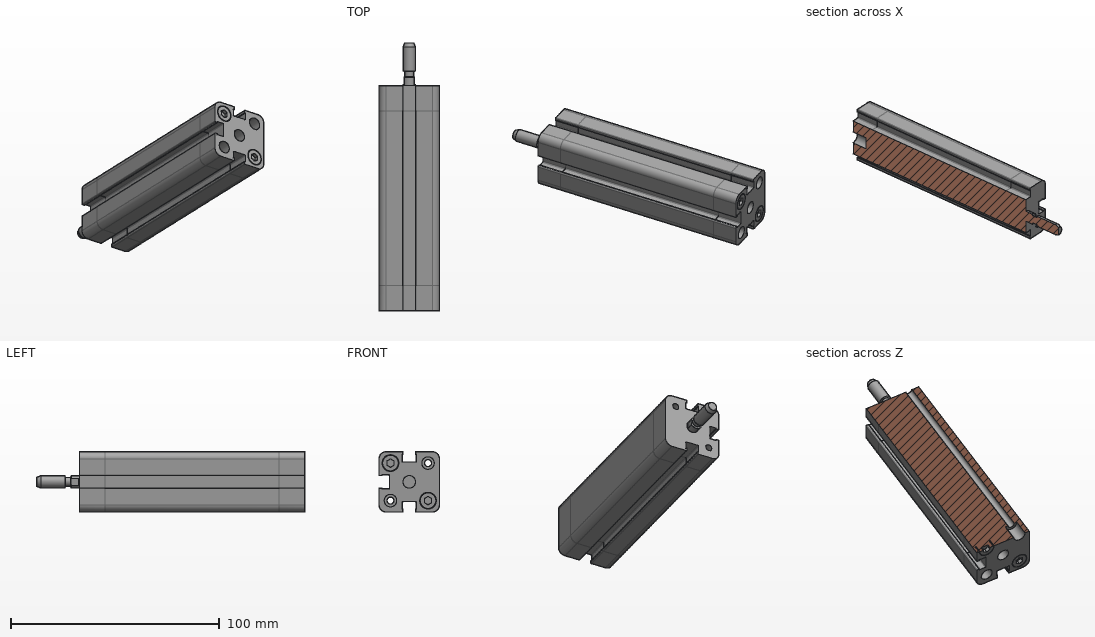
import cadquery as cq
import math

BODY_SIDE = 29.05
BODY_LENGTH = 108.0
CAP_LENGTH = 12.25
CORNER_RADIUS = 3.5

SLOT_MOUTH_WIDTH = 6.0
CAP_SLOT_WIDTH = 7.0
TUBE_SLOT_WIDTH = 6.5
SLOT_DEPTH = 5.0
SLOT_EDGE_RADIUS = 0.3
SLOT_LIP = 1.5
SLOT_ANGLES = (0, 90, 180)

HOLE_OFFSET = 9.0
THROUGH_DIAMETER = 3.24
COUNTERBORE_DIAMETER = 6.0
COUNTERBORE_DEPTH = 8.0
CENTER_HOLE_DIAMETER = 6.0
CENTER_HOLE_DEPTH = 8.0
SCREW_BORE_DIAMETER = 8.0
SCREW_HEAD_DIAMETER = 7.5
SCREW_HEAD_HEIGHT = 4.0
SOCKET_FLAT_WIDTH = 3.5
SOCKET_DEPTH = 2.0
HEX_HALF_ANGLE = 30

ROD_DIAMETER = 6.0
ROD_LENGTH = 20.5
ROD_SHOULDER_LENGTH = 4.3
ROD_SHOULDER_TAPER = 0.4
ROD_FLAT_WIDTH = 5.0
ROD_FLAT_OFFSET = 0.4
NECK_DIAMETER = 4.4
NECK_LENGTH = 2.4
THREAD_RUNOUT = 0.3
TIP_DIAMETER = 4.4
TIP_LENGTH = 2.0


def front_plane(y):
    """Plane at the given Y with local x = +X, local y = +Z and normal = -Y."""
    return cq.Workplane("XZ", origin=(0, y, 0))


def cylinder(diameter, x, z, depth):
    """Cylinder sunk from the front face into the body."""
    return front_plane(0).center(x, z).circle(diameter / 2).extrude(-depth)


def body_section(y_start, length, slot_width):
    """Length of slotted square profile, with rounded slot mouths and slot floor corners."""
    section = front_plane(y_start).rect(BODY_SIDE, BODY_SIDE).extrude(-length)
    section = section.edges("|Y").fillet(CORNER_RADIUS)
    half_side = BODY_SIDE / 2
    half_mouth = SLOT_MOUTH_WIDTH / 2
    half_slot = slot_width / 2
    floor = half_side - SLOT_DEPTH
    round_start = half_mouth + SLOT_EDGE_RADIUS
    round_end = half_side - SLOT_EDGE_RADIUS
    slot = (
        front_plane(y_start)
        .moveTo(-round_start, half_side)
        .radiusArc((-half_mouth, round_end), SLOT_EDGE_RADIUS)
        .lineTo(-half_mouth, half_side - SLOT_LIP)
        .lineTo(-half_slot, half_side - SLOT_LIP)
        .lineTo(-half_slot, floor + SLOT_EDGE_RADIUS)
        .radiusArc((SLOT_EDGE_RADIUS - half_slot, floor), -SLOT_EDGE_RADIUS)
        .lineTo(half_slot - SLOT_EDGE_RADIUS, floor)
        .radiusArc((half_slot, floor + SLOT_EDGE_RADIUS), -SLOT_EDGE_RADIUS)
        .lineTo(half_slot, half_side - SLOT_LIP)
        .lineTo(half_mouth, half_side - SLOT_LIP)
        .lineTo(half_mouth, round_end)
        .radiusArc((round_start, half_side), SLOT_EDGE_RADIUS)
        .close()
        .extrude(-length)
    )
    for angle in SLOT_ANGLES:
        section = section.cut(slot.rotate((0, 0, 0), (0, 1, 0), -angle))
    return section


def body():
    """Front cap, tube and rear cap, keeping the seams between them."""
    tube_length = BODY_LENGTH - 2 * CAP_LENGTH
    front_cap = body_section(0, CAP_LENGTH, CAP_SLOT_WIDTH)
    tube = body_section(CAP_LENGTH, tube_length, TUBE_SLOT_WIDTH)
    rear_cap = body_section(BODY_LENGTH - CAP_LENGTH, CAP_LENGTH, CAP_SLOT_WIDTH)
    return front_cap.union(tube, clean=False).union(rear_cap, clean=False)


def mounting_hole(x, z):
    """Through hole with a counterbore in the front face."""
    bore = cylinder(COUNTERBORE_DIAMETER, x, z, COUNTERBORE_DEPTH)
    return bore.union(cylinder(THROUGH_DIAMETER, x, z, BODY_LENGTH))


def screw_recess(x, z):
    """Clearance ring around a flush screw head, plus its hexagon socket with corners up and down."""
    ring = cylinder(SCREW_BORE_DIAMETER, x, z, SCREW_HEAD_HEIGHT).cut(
        cylinder(SCREW_HEAD_DIAMETER, x, z, SCREW_HEAD_HEIGHT)
    )
    socket = (
        front_plane(0)
        .center(x, z)
        .transformed(rotate=(0, 0, HEX_HALF_ANGLE))
        .polygon(6, SOCKET_FLAT_WIDTH / math.cos(math.radians(HEX_HALF_ANGLE)))
        .extrude(-SOCKET_DEPTH)
    )
    return ring.union(socket)


def piston_rod():
    """Turned rod with two wrench flats, a neck and a tapered threaded end."""
    radius = ROD_DIAMETER / 2
    neck_radius = NECK_DIAMETER / 2
    shoulder_end = BODY_LENGTH + ROD_SHOULDER_LENGTH
    neck_end = shoulder_end + NECK_LENGTH
    rod_end = BODY_LENGTH + ROD_LENGTH
    rod = (
        cq.Workplane("XY")
        .moveTo(0, BODY_LENGTH)
        .lineTo(radius, BODY_LENGTH)
        .lineTo(radius, shoulder_end - ROD_SHOULDER_TAPER)
        .lineTo(neck_radius, shoulder_end)
        .lineTo(neck_radius, neck_end)
        .lineTo(radius, neck_end + THREAD_RUNOUT)
        .lineTo(radius, rod_end - TIP_LENGTH)
        .lineTo(TIP_DIAMETER / 2, rod_end)
        .lineTo(0, rod_end)
        .close()
        .revolve(360, (0, 0, 0), (0, 1, 0))
    )
    flat_start = BODY_LENGTH + ROD_FLAT_OFFSET
    flat_length = ROD_SHOULDER_LENGTH - ROD_FLAT_OFFSET
    block_side = 2 * ROD_DIAMETER
    block = front_plane(flat_start).rect(block_side, block_side).extrude(-flat_length)
    between_flats = front_plane(flat_start).rect(ROD_FLAT_WIDTH, block_side).extrude(-flat_length)
    return rod.cut(block.cut(between_flats))


result = body().union(piston_rod(), clean=False)
result = result.cut(cylinder(CENTER_HOLE_DIAMETER, 0, 0, CENTER_HOLE_DEPTH), clean=False)
for side in (-1, 1):
    result = result.cut(mounting_hole(side * HOLE_OFFSET, side * HOLE_OFFSET), clean=False)
    result = result.cut(screw_recess(side * HOLE_OFFSET, -side * HOLE_OFFSET), clean=False)